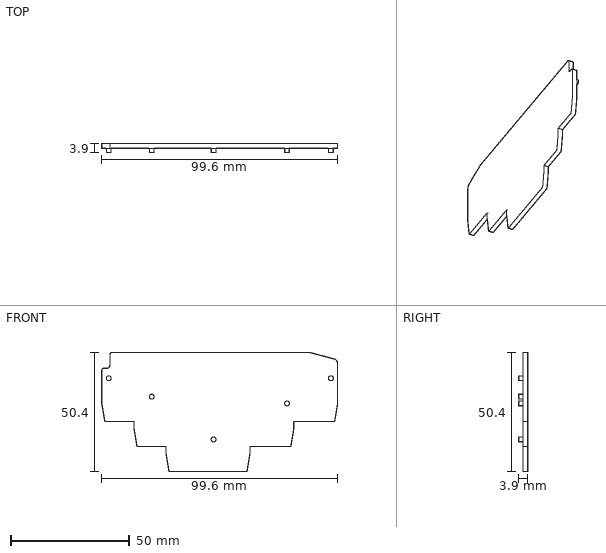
import cadquery as cq
import math

plate_length = 99.6
plate_height = 50.4
plate_thickness = 2.1

pin_diameter = 2.08
pin_length = 1.8
upper_pin_z = -10.95
pin_centres = [
    (2.95, upper_pin_z),
    (96.75, upper_pin_z),
    (21.1, -18.75),
    (78.2, -21.6),
    (47.2, -36.8),
]

notch_width = 3.4
notch_depth = 6.65
notch_radius = 1.0

slope_length = 11.9
slope_angle = 15.0
slope_corner_radius = 2.0

tier_step = 10.55
taper_height = 7.5
taper_inset = 1.25
tier_corner_radius = 0.5
tier_sides = [
    (0.0, plate_length),
    (13.6, 81.1),
    (27.1, 62.6),
]

tier_count = len(tier_sides)
tier_bottoms = [-plate_height + tier_step * (tier_count - 1 - i) for i in range(tier_count)]
slope_drop = slope_length * math.tan(math.radians(slope_angle))

notch_corners = [
    (0.0, -notch_depth),
    (notch_width, -notch_depth),
    (notch_width, 0.0),
]
slope_end = (plate_length, -slope_drop)


def tier_side(side_x, bottom, inset, shoulder):
    """Points down one side of a tier: shoulder (if any), taper start, bottom corner."""
    points = [(side_x, bottom + taper_height), (side_x + inset, bottom)]
    if shoulder is not None:
        points.insert(0, (side_x, shoulder))
    return points


def plate_outline():
    """Sharp-cornered outline, clockwise from the notch."""
    shoulders = [None] + tier_bottoms[:-1]
    left_side = []
    right_side = []
    for (left, right), bottom, shoulder in zip(tier_sides, tier_bottoms, shoulders):
        left_side += tier_side(left, bottom, taper_inset, shoulder)
        right_side += tier_side(right, bottom, -taper_inset, shoulder)
    top = notch_corners + [(plate_length - slope_length, 0.0), slope_end]
    return top + right_side + left_side[::-1]


def round_corners(body, corners, radius):
    """Fillet the thickness-direction edges that stand at the given (X, Z) corners."""
    middle_y = plate_thickness / 2
    edges = cq.Workplane("XY")
    for x, z in corners:
        nearest = cq.selectors.NearestToPointSelector((x, middle_y, z))
        edges = edges.add(body.edges("|Y").edges(nearest).vals())
    return body.newObject(edges.vals()).fillet(radius)


def make_plate():
    plate = cq.Workplane("XZ").polyline(plate_outline()).close().extrude(-plate_thickness)
    plate = round_corners(plate, notch_corners, notch_radius)
    plate = round_corners(plate, [slope_end], slope_corner_radius)
    tier_corners = []
    for (left, right), bottom in zip(tier_sides, tier_bottoms):
        tier_corners += [(left + taper_inset, bottom), (right - taper_inset, bottom)]
    return round_corners(plate, tier_corners, tier_corner_radius)


def make_pins():
    return cq.Workplane("XZ").pushPoints(pin_centres).circle(pin_diameter / 2).extrude(pin_length)


result = make_plate().union(make_pins())